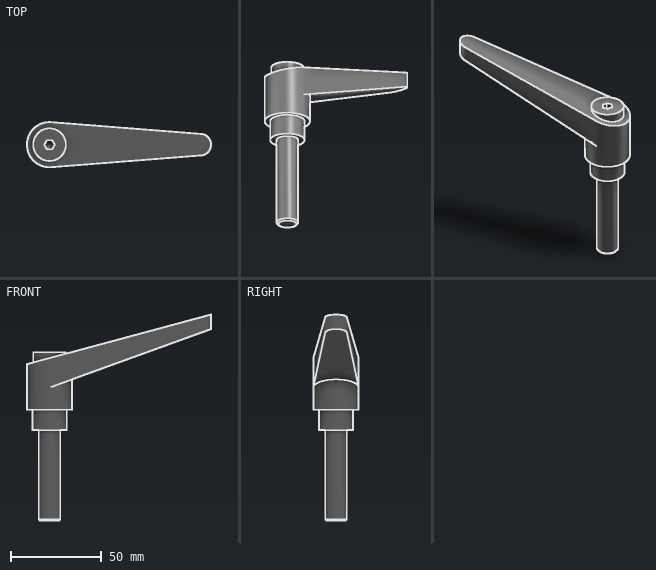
import cadquery as cq
import math


stud_diameter = 12.0
stud_length = 50.0
stud_chamfer_height = 1.0
stud_chamfer_width = 0.9

collar_diameter = 19.0
hub_diameter = 25.0
hub_bottom = 11.2
head_diameter = 18.0
head_top = 43.0

arm_reach = 89.0
arm_tip_radius = 6.0
arm_tip_top = 63.73
arm_top_angle = 15.1
arm_underside_angle = 19.9
arm_tip_thickness = 8.1

socket_across_flats = 5.0
socket_depth = 5.0
socket_cone_angle = 120.0

trim_margin = 5.0

hub_radius = hub_diameter / 2
arm_tip_center = arm_reach - arm_tip_radius
top_slope = math.tan(math.radians(arm_top_angle))
underside_slope = math.tan(math.radians(arm_underside_angle))


def cylinder(diameter, bottom, top):
    """Solid cylinder on the Z axis between two heights."""
    return cq.Workplane("XY").workplane(offset=bottom).circle(diameter / 2).extrude(top - bottom)


def top_height(x):
    """Height of the sloping top face at a given X."""
    return arm_tip_top - (arm_reach - x) * top_slope


def underside_height(x):
    """Height of the sloping arm underside at a given X."""
    return arm_tip_top - arm_tip_thickness - (arm_reach - x) * underside_slope


def make_stud():
    """Stud with a chamfered free end; it runs up to the underside of the hub."""
    stud = cylinder(stud_diameter, -stud_length, hub_bottom)
    return stud.faces("<Z").chamfer(stud_chamfer_height, stud_chamfer_width)


def sloped_slab(x_start, x_end, lower_start, lower_end):
    """Slab across the hub width, bounded above by the sloping top face."""
    return (
        cq.Workplane("XZ")
        .moveTo(x_start, lower_start)
        .lineTo(x_end, lower_end)
        .lineTo(x_end, top_height(x_end))
        .lineTo(x_start, top_height(x_start))
        .close()
        .extrude(hub_radius, both=True)
    )


def make_hub():
    """Round hub cut off along the slope of the arm's top face."""
    raw_hub = cylinder(hub_diameter, hub_bottom, top_height(hub_radius) + trim_margin)
    return raw_hub.intersect(sloped_slab(-hub_radius, hub_radius, hub_bottom, hub_bottom))


def make_arm():
    """Tapering arm: its flanks are tangent to the hub and to the rounded tip."""
    flank_sine = (hub_radius - arm_tip_radius) / arm_tip_center
    flank_cosine = math.sqrt(1 - flank_sine**2)
    root_x = hub_radius * flank_sine
    root_y = hub_radius * flank_cosine
    tip_x = arm_tip_center + arm_tip_radius * flank_sine
    tip_y = arm_tip_radius * flank_cosine
    raw_arm = (
        cq.Workplane("XY")
        .moveTo(root_x, -root_y)
        .lineTo(tip_x, -tip_y)
        .threePointArc((arm_reach, 0), (tip_x, tip_y))
        .lineTo(root_x, root_y)
        .close()
        .extrude(arm_tip_top + trim_margin)
    )
    return raw_arm.intersect(
        sloped_slab(root_x, arm_reach, underside_height(root_x), underside_height(arm_reach))
    )


def make_socket():
    """Hexagonal recess whose floor is a cone pointing down."""
    corner_radius = socket_across_flats / math.sqrt(3)
    cone_depth = corner_radius / math.tan(math.radians(socket_cone_angle / 2))
    cone_top = head_top - socket_depth
    hexagon = (
        cq.Workplane("XY")
        .workplane(offset=cone_top - cone_depth)
        .polygon(6, 2 * corner_radius)
        .extrude(socket_depth + cone_depth)
    )
    drilled_hole = (
        cq.Workplane("XZ")
        .moveTo(0, cone_top - cone_depth)
        .lineTo(corner_radius, cone_top)
        .lineTo(corner_radius, head_top)
        .lineTo(0, head_top)
        .close()
        .revolve(360, (0, 0), (0, 1))
    )
    return hexagon.intersect(drilled_hole)


collar = cylinder(collar_diameter, 0, hub_bottom)
screw_head = cylinder(head_diameter, hub_bottom, head_top)

lever = make_hub().union(make_arm())

result = make_stud().union(collar).union(lever).union(screw_head).cut(make_socket())